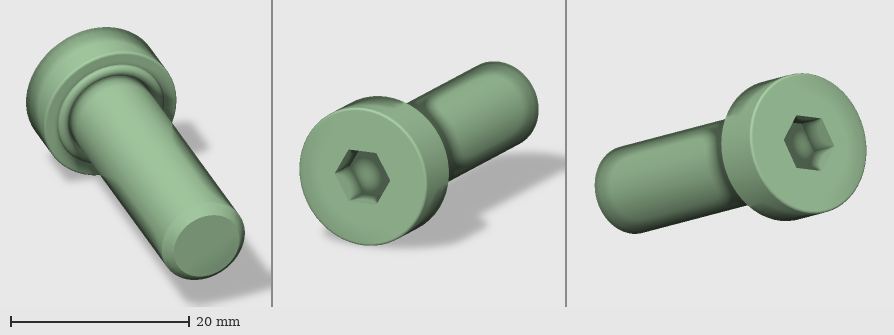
import cadquery as cq
import math


TOTAL_LENGTH = 36.0
HEAD_LENGTH = 6.0

HEAD_RADIUS = 8.0
HEAD_EDGE_ROUND = 0.3

SOCKET_ACROSS_FLATS = 6.0
SOCKET_DEPTH = 4.0

SHANK_RADIUS = 5.0
TIP_CHAMFER = 1.05

RING_SECTION_RADIUS = 0.72
RING_PROTRUSION = 0.45
RING_CENTER_RADIUS = SHANK_RADIUS + RING_SECTION_RADIUS
GROOVE_OUTER_RADIUS = RING_CENTER_RADIUS + RING_SECTION_RADIUS
GROOVE_DEPTH = 2 * RING_SECTION_RADIUS - RING_PROTRUSION

HEAD_START = -TOTAL_LENGTH / 2
HEAD_END = HEAD_START + HEAD_LENGTH
SHANK_LENGTH = TOTAL_LENGTH - HEAD_LENGTH


def cross_plane(x):
    """Plane across the screw axis at x, facing +X, with local x along Y."""
    return cq.Workplane("YZ", origin=(x, 0, 0))


def make_socket():
    """Hexagonal prism with corners on the Y axis and flats facing up and down."""
    across_corners = SOCKET_ACROSS_FLATS / math.cos(math.radians(30))
    return cross_plane(HEAD_START).polygon(6, across_corners).extrude(SOCKET_DEPTH)


def make_groove():
    """Square-cornered annular recess that opens in the underside of the head."""
    disc = cross_plane(HEAD_END).circle(GROOVE_OUTER_RADIUS)
    return disc.circle(SHANK_RADIUS).extrude(-GROOVE_DEPTH)


def make_screw():
    """Head with rounded rims, socket and ring groove, and a shank with a chamfered tip."""
    head = cross_plane(HEAD_START).circle(HEAD_RADIUS).extrude(HEAD_LENGTH)
    head = head.faces("<X or >X").edges().fillet(HEAD_EDGE_ROUND)
    shank = cross_plane(HEAD_END).circle(SHANK_RADIUS).extrude(SHANK_LENGTH)
    shank = shank.faces(">X").chamfer(TIP_CHAMFER)
    return head.union(shank).cut(make_socket()).cut(make_groove())


def make_sealing_ring():
    """Round-section ring resting on the groove floor and standing proud of the head."""
    ring_x = HEAD_END + RING_PROTRUSION - RING_SECTION_RADIUS
    section = cq.Workplane("XY").center(ring_x, RING_CENTER_RADIUS).circle(RING_SECTION_RADIUS)
    axis_start = (0, -RING_CENTER_RADIUS, 0)
    axis_end = (1, -RING_CENTER_RADIUS, 0)
    return section.revolve(360, axis_start, axis_end)


screw = make_screw()
sealing_ring = make_sealing_ring()

result = cq.Compound.makeCompound([screw.val(), sealing_ring.val()])